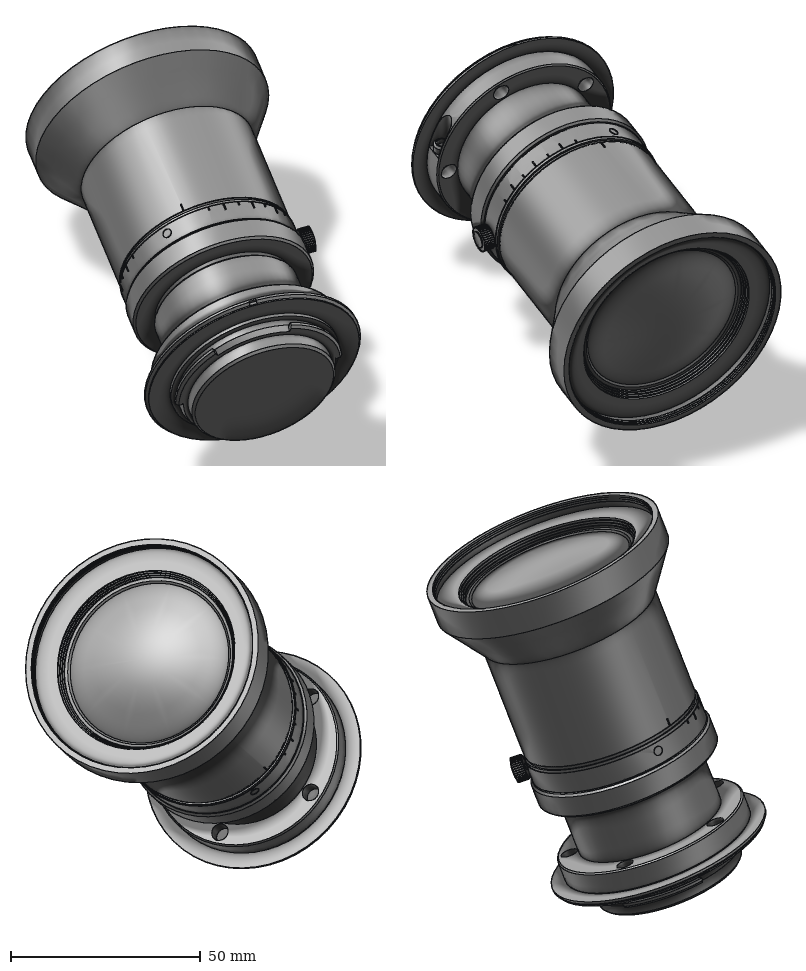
import cadquery as cq
import math


total_length = 98.7
hood_radius = 32.5
hood_end = 8.1
cone_end = 20.4
barrel_radius = 24.1
barrel_end = 51.4
groove_radius = 23.8
scale_ring_radius = 24.5
scale_ring_start = 52.3
scale_ring_lip_radius = 24.3
scale_ring_line = 53.1
scale_ring_end = 58.9
grip_radius = 25.2
grip_start = 59.3
grip_end = 66.2
grip_chamfer = 0.6
neck_radius = 38.7 / 2
tube_radius = 40.0 / 2
tube_start = 67.9
tube_chamfer = 0.7
flange_radius = 26.1
flange_start = 82.4
flange_chamfer = 0.4
plate_radius = 30.0
plate_start = 88.8
plate_end = 90.4
plate_lip_radius = 29.3
plate_bevel_start = 89.5
plate_lip_start = 90.1
collar_radius = 23.5
collar_end = 91.4
seat_radius = 21.9
seat_end = 93.2

recess_radius = 30.6
recess_depth = 3.4
thread_relief = 0.3
mouth_step = 0.5
well_radius = 24.8
well_inner_radius = 23.6
well_depth = 5.7
well_step_count = 4
glass_seat_radius = 22.7
glass_radius = 22.1
glass_edge_depth = 6.1
glass_bulge = 3.5

lug_start = 93.4
lug_end = 94.9
lug_radius = 23.2
lug_chamfer = 0.7
lug_overlap = 1.0
lug_root_radius = 21.2
lug_sectors = ((0.0, 57.0), (113.0, 64.0), (240.0, 57.0))

dot_diameter = 2.5
dot_station = 55.5
dot_angles = (60.0, -60.0)
engraving_depth = 0.2
tick_width = 0.3
short_tick_length = 1.1
long_tick_length = 2.1
tick_pitch = 10.0
ticks_per_side = 3
scale_centres = (0.0, 120.0)
index_offset = -45.0
index_length = 2.2

knob_diameter = 6.9
knob_bottom = 25.0
knob_top = 28.1
knob_chamfer = 0.3
knob_cap_diameter = 4.5
knob_cap_top = 28.4
knob_stem_diameter = 1.7
knob_stem_embed = 1.0
knurl_count = 36
knurl_diameter = 0.4

face_hole_count = 5
face_hole_diameter = 4.5
face_hole_pitch_radius = 22.6
face_hole_depth = 3.95
face_hole_first_angle = 36.0
screw_x = 85.6
screw_y = 23.0
screw_floor_z = 5.5
screw_pocket_width = 5.1
screw_head_diameter = 4.5
screw_head_height = 2.5
screw_head_chamfer = 0.6
screw_socket_diameter = 2.7
screw_socket_depth = 1.5

plate_notch_station = 89.7
plate_notch_width = 2.0
plate_notch_length = 0.9
plate_notch_depth = 0.8
pin_hole_diameter = 1.7
pin_hole_station = 92.4
pin_hole_angle = -3.0
pin_hole_depth = 1.0


def turn(solid, angle):
    """Turn a feature made at -Y about the X axis, toward +Z for positive angles."""
    return solid.rotate((0, 0, 0), (1, 0, 0), -angle)


def body():
    """All turned surfaces in one revolved half profile."""
    glass_mid_radius = glass_radius / 2
    glass_sphere = (glass_radius**2 + glass_bulge**2) / (2 * glass_bulge)
    glass_mid_sag = glass_sphere - math.sqrt(glass_sphere**2 - glass_mid_radius**2)
    glass_apex = glass_edge_depth - glass_bulge
    profile = (
        cq.Workplane("XY")
        .moveTo(glass_apex, 0)
        .threePointArc((glass_apex + glass_mid_sag, glass_mid_radius), (glass_edge_depth, glass_radius))
        .lineTo(well_depth, glass_seat_radius)
    )
    step_depth = (well_depth - recess_depth) / well_step_count
    step_width = (well_radius - well_inner_radius) / (well_step_count - 1)
    for step in range(well_step_count):
        step_radius = well_inner_radius + step * step_width
        profile = profile.lineTo(well_depth - step * step_depth, step_radius)
        profile = profile.lineTo(well_depth - (step + 1) * step_depth, step_radius)
    profile = (
        profile
        .lineTo(recess_depth, recess_radius + thread_relief)
        .lineTo(recess_depth / 2, recess_radius + thread_relief)
        .lineTo(recess_depth / 2, recess_radius)
        .lineTo(2 * mouth_step, recess_radius)
        .lineTo(2 * mouth_step, recess_radius + thread_relief / 2)
        .lineTo(mouth_step, recess_radius + thread_relief / 2)
        .lineTo(mouth_step, recess_radius + thread_relief)
        .lineTo(0, recess_radius + thread_relief)
        .lineTo(0, hood_radius)
        .lineTo(hood_end, hood_radius)
        .lineTo(cone_end, barrel_radius)
        .lineTo(barrel_end, barrel_radius)
        .lineTo(barrel_end, groove_radius)
        .lineTo(scale_ring_start, groove_radius)
        .lineTo(scale_ring_start, scale_ring_lip_radius)
        .lineTo(scale_ring_line, scale_ring_lip_radius)
        .lineTo(scale_ring_line, scale_ring_radius)
        .lineTo(scale_ring_end, scale_ring_radius)
        .lineTo(scale_ring_end, groove_radius)
        .lineTo(grip_start, groove_radius)
        .lineTo(grip_start, grip_radius - grip_chamfer)
        .lineTo(grip_start + grip_chamfer, grip_radius)
        .lineTo(grip_end - grip_chamfer, grip_radius)
        .lineTo(grip_end, grip_radius - grip_chamfer)
        .lineTo(grip_end, neck_radius)
        .lineTo(tube_start + neck_radius - tube_radius, neck_radius)
        .lineTo(tube_start, tube_radius)
        .lineTo(flange_start, tube_radius)
        .lineTo(flange_start, flange_radius - flange_chamfer)
        .lineTo(flange_start + flange_chamfer, flange_radius)
        .lineTo(plate_start - flange_chamfer, flange_radius)
        .lineTo(plate_start, flange_radius - flange_chamfer)
        .lineTo(plate_start, plate_radius)
        .lineTo(plate_bevel_start, plate_radius)
        .lineTo(plate_lip_start, plate_lip_radius)
        .lineTo(plate_end, plate_lip_radius)
        .lineTo(plate_end, collar_radius)
        .lineTo(collar_end, collar_radius)
        .lineTo(collar_end, seat_radius)
        .lineTo(seat_end, seat_radius)
        .lineTo(lug_end, lug_root_radius)
        .lineTo(lug_end, tube_radius)
        .lineTo(total_length - tube_chamfer, tube_radius)
        .lineTo(total_length, tube_radius - tube_chamfer)
        .lineTo(total_length, 0)
        .close()
    )
    return profile.revolve(360, (0, 0, 0), (1, 0, 0))


def bayonet_lug(start_angle, span):
    """Chamfered lug: a turned section swept through a limited angle about X."""
    inner = lug_root_radius - lug_overlap
    lug = (
        cq.Workplane("XY")
        .moveTo(lug_start, -inner)
        .lineTo(lug_start, -lug_radius)
        .lineTo(lug_end - lug_chamfer, -lug_radius)
        .lineTo(lug_end, -lug_radius + lug_chamfer)
        .lineTo(lug_end, -inner)
        .close()
        .revolve(span, (0, 0, 0), (-1, 0, 0))
    )
    return turn(lug, start_angle)


def tick(start, length, surface_radius, angle):
    """Shallow engraved line along X."""
    bar = cq.Workplane("XY").box(length, 2 * engraving_depth, tick_width)
    return turn(bar.translate((start + length / 2, -surface_radius, 0)), angle)


def cut_scales(part):
    """Aperture ticks, with a long one in every second place, and an index line for each scale."""
    for centre in scale_centres:
        for step in range(-ticks_per_side, ticks_per_side + 1):
            length = short_tick_length if step % 2 else long_tick_length
            part = part.cut(tick(scale_ring_line, length, scale_ring_radius, centre + step * tick_pitch))
        index_start = barrel_end - index_length
        part = part.cut(tick(index_start, index_length, barrel_radius, centre + index_offset))
    return part


def radial_hole(station, angle, diameter, surface_radius, depth):
    """Blind round hole running from outside toward the X axis."""
    hole = (
        cq.Workplane("XZ", origin=(station, -surface_radius + depth, 0))
        .circle(diameter / 2)
        .extrude(2 * depth)
    )
    return turn(hole, angle)


def knob():
    """Knurled knob with a raised cap, on a stem that reaches into the scale ring."""

    def disc(diameter, bottom, top):
        return (
            cq.Workplane("XZ", origin=(dot_station, bottom, 0))
            .circle(diameter / 2)
            .extrude(bottom - top)
        )

    head = disc(knob_diameter, knob_bottom, knob_top).faces("<Y").chamfer(knob_chamfer)
    knurls = (
        cq.Workplane("XZ", origin=(dot_station, knob_bottom, 0))
        .polarArray(knob_diameter / 2, 0, 360, knurl_count)
        .circle(knurl_diameter / 2)
        .extrude(knob_bottom - knob_top)
    )
    cap = disc(knob_cap_diameter, knob_top, knob_cap_top)
    stem = disc(knob_stem_diameter, scale_ring_radius - knob_stem_embed, knob_bottom)
    return head.cut(knurls).union(cap).union(stem)


def cut_face_holes(part):
    """Blind holes in the front face of the flange, evenly spaced."""
    for index in range(face_hole_count):
        angle = math.radians(face_hole_first_angle + index * 360 / face_hole_count)
        hole = (
            cq.Workplane("YZ", origin=(flange_start, 0, 0))
            .center(
                -face_hole_pitch_radius * math.cos(angle),
                face_hole_pitch_radius * math.sin(angle),
            )
            .circle(face_hole_diameter / 2)
            .extrude(face_hole_depth)
        )
        part = part.cut(hole)
    return part


def add_clamp_screw(part):
    """Flat-bottomed pocket, open at the rim of the flange, holding a socket head screw."""
    pocket_height = flange_radius - screw_floor_z
    reach = flange_radius - screw_y
    floor = cq.Workplane("XY", origin=(screw_x, screw_y, screw_floor_z))
    pocket = floor.circle(screw_pocket_width / 2).extrude(pocket_height)
    opening = floor.center(0, reach / 2).rect(screw_pocket_width, reach).extrude(pocket_height)
    head = (
        floor.circle(screw_head_diameter / 2)
        .extrude(screw_head_height)
        .faces(">Z")
        .chamfer(screw_head_chamfer)
        .faces(">Z")
        .workplane()
        .hole(screw_socket_diameter, screw_socket_depth)
    )
    return part.cut(pocket).cut(opening).union(head)


def cut_plate_notch(part):
    """Small notch at the top of the mount plate rim."""
    notch = cq.Workplane("XY").box(plate_notch_length, plate_notch_width, 2 * plate_notch_depth)
    return part.cut(notch.translate((plate_notch_station, 0, plate_radius)))


result = body()
for lug_angle, lug_span in lug_sectors:
    result = result.union(bayonet_lug(lug_angle, lug_span))
result = cut_scales(result)
for dot_angle in dot_angles:
    result = result.cut(
        radial_hole(dot_station, dot_angle, dot_diameter, scale_ring_radius, engraving_depth)
    )
result = result.cut(
    radial_hole(pin_hole_station, pin_hole_angle, pin_hole_diameter, seat_radius, pin_hole_depth)
)
result = cut_face_holes(result)
result = add_clamp_screw(result)
result = cut_plate_notch(result)
result = result.union(knob())